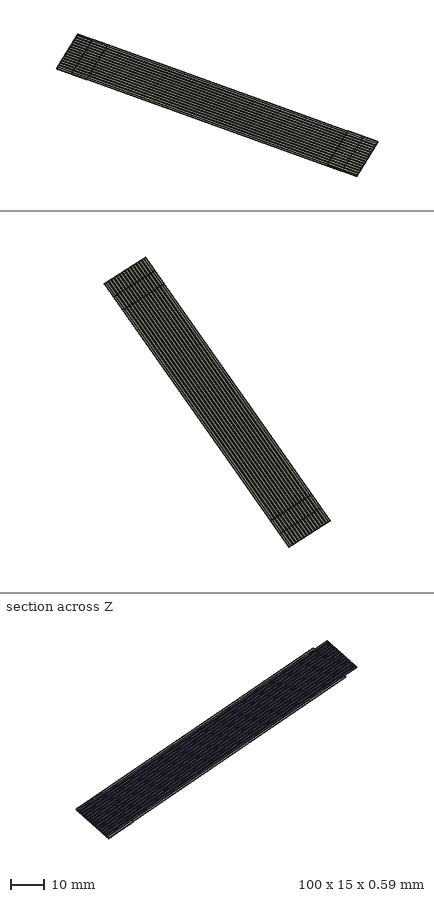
import cadquery as cq

length = 100.0
width = 15.0
total_thickness = 0.59

conductor_count = 14
conductor_pitch = 1.0
conductor_width = 0.7
conductor_thickness = 0.05

cable_thickness = 0.14
tape_thickness = (cable_thickness - conductor_thickness) / 2
contact_length = 5.0

stiffener_length = 10.0
stiffener_thickness = (total_thickness - cable_thickness) / 2

left = -length / 2
right = length / 2
conductor_bottom = -conductor_thickness / 2
conductor_top = conductor_thickness / 2
cable_bottom = -cable_thickness / 2
cable_top = cable_thickness / 2


def strip(x_start, x_end, strip_width, z_bottom, thickness, y_center=0):
    """Flat strip between two X positions, resting on z_bottom."""
    return (
        cq.Workplane("XY")
        .box(x_end - x_start, strip_width, thickness, centered=(False, True, False))
        .translate((x_start, y_center, z_bottom))
    )


lower_tape = strip(left, right - contact_length, width, cable_bottom, tape_thickness)
upper_tape = strip(left + contact_length, right, width, conductor_top, tape_thickness)

lower_stiffener = strip(
    left,
    left + stiffener_length,
    width,
    cable_bottom - stiffener_thickness,
    stiffener_thickness,
)
upper_stiffener = strip(right - stiffener_length, right, width, cable_top, stiffener_thickness)

result = lower_tape.union(lower_stiffener).union(upper_tape).union(upper_stiffener)

first_conductor_y = -(conductor_count - 1) * conductor_pitch / 2
for index in range(conductor_count):
    conductor = strip(
        left,
        right,
        conductor_width,
        conductor_bottom,
        conductor_thickness,
        first_conductor_y + index * conductor_pitch,
    )
    result = result.union(conductor)